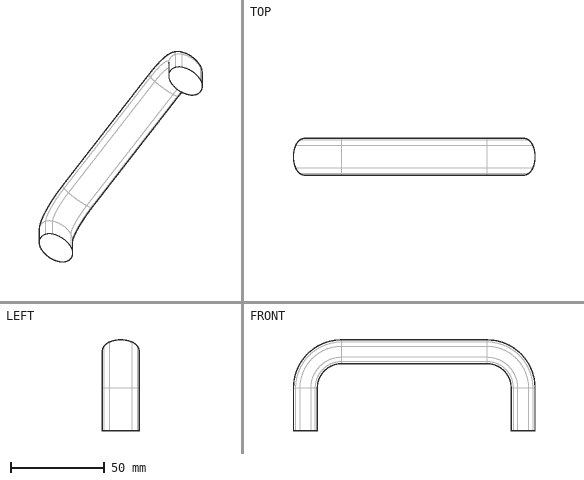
import cadquery as cq
import math

length = 129.9
height = 49.0
grip_width = 20.0
grip_thickness = 13.0
outer_bend_radius = 26.0

broad_radius = 15.6
broad_half_width = 6.1
edge_radius = 5.0

half_width = grip_width / 2
half_thickness = grip_thickness / 2
broad_center_x = half_thickness - broad_radius
edge_center_y = half_width - edge_radius

broad_angle = math.asin(broad_half_width / broad_radius)
broad_join_x = broad_center_x + broad_radius * math.cos(broad_angle)

to_join_x = broad_join_x
to_join_y = broad_half_width - edge_center_y
along_normal = to_join_x * math.cos(broad_angle) + to_join_y * math.sin(broad_angle)
shoulder_radius = (to_join_x**2 + to_join_y**2 - edge_radius**2) / (2 * (along_normal - edge_radius))
shoulder_center_x = broad_join_x - shoulder_radius * math.cos(broad_angle)
shoulder_center_y = broad_half_width - shoulder_radius * math.sin(broad_angle)

edge_angle = math.atan2(edge_center_y - shoulder_center_y, -shoulder_center_x)
edge_join_x = edge_radius * math.cos(edge_angle)
edge_join_y = edge_center_y + edge_radius * math.sin(edge_angle)

shoulder_angle = (broad_angle + edge_angle) / 2
shoulder_x = shoulder_center_x + shoulder_radius * math.cos(shoulder_angle)
shoulder_y = shoulder_center_y + shoulder_radius * math.sin(shoulder_angle)

bend_radius = outer_bend_radius - half_thickness
leg_x = length / 2 - half_thickness
bar_z = height - half_thickness
bend_start_z = bar_z - bend_radius
straight_x = leg_x - bend_radius
bend_mid = bend_radius * math.sin(math.radians(45))


def make_path():
    """Centreline up one leg, along the bar and down the other leg."""
    return (
        cq.Workplane("XZ")
        .moveTo(-leg_x, 0)
        .lineTo(-leg_x, bend_start_z)
        .threePointArc((-straight_x - bend_mid, bend_start_z + bend_mid), (-straight_x, bar_z))
        .lineTo(straight_x, bar_z)
        .threePointArc((straight_x + bend_mid, bend_start_z + bend_mid), (leg_x, bend_start_z))
        .lineTo(leg_x, 0)
    )


def make_section():
    """Eight-arc oval at the foot of the left leg."""
    return (
        cq.Workplane("XY")
        .center(-leg_x, 0)
        .moveTo(broad_join_x, -broad_half_width)
        .threePointArc((half_thickness, 0), (broad_join_x, broad_half_width))
        .threePointArc((shoulder_x, shoulder_y), (edge_join_x, edge_join_y))
        .threePointArc((0, half_width), (-edge_join_x, edge_join_y))
        .threePointArc((-shoulder_x, shoulder_y), (-broad_join_x, broad_half_width))
        .threePointArc((-half_thickness, 0), (-broad_join_x, -broad_half_width))
        .threePointArc((-shoulder_x, -shoulder_y), (-edge_join_x, -edge_join_y))
        .threePointArc((0, -half_width), (edge_join_x, -edge_join_y))
        .threePointArc((shoulder_x, -shoulder_y), (broad_join_x, -broad_half_width))
        .close()
    )


result = make_section().sweep(make_path())